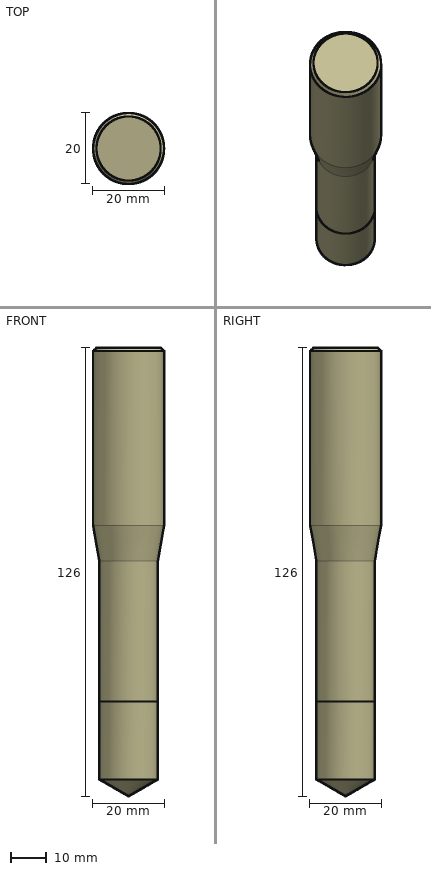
import cadquery as cq
import math

total_length = 126.0
shank_diameter = 20.0
body_diameter = 16.5

tip_top = 26.6
neck_top = 66.0
shank_bottom = 76.1

shank_chamfer = 1.0
point_angle = 120.0

shank_radius = shank_diameter / 2
body_radius = body_diameter / 2
point_height = body_radius / math.tan(math.radians(point_angle / 2))


def revolve_profile(points):
    """Turn a closed (radius, height) outline around the Z axis."""
    return cq.Workplane("XZ").polyline(points).close().revolve(360, (0, 0), (0, 1))


def make_holder():
    """Chamfered shank that tapers down to a slimmer neck."""
    return revolve_profile([
        (0, tip_top),
        (body_radius, tip_top),
        (body_radius, neck_top),
        (shank_radius, shank_bottom),
        (shank_radius, total_length - shank_chamfer),
        (shank_radius - shank_chamfer, total_length),
        (0, total_length),
    ])


def make_cutting_tip():
    """Cylindrical tip with a conical point, seated flat against the neck."""
    return revolve_profile([
        (0, 0),
        (body_radius, point_height),
        (body_radius, tip_top),
        (0, tip_top),
    ])


holder = make_holder()
cutting_tip = make_cutting_tip()
result = cq.Compound.makeCompound([holder.val(), cutting_tip.val()])